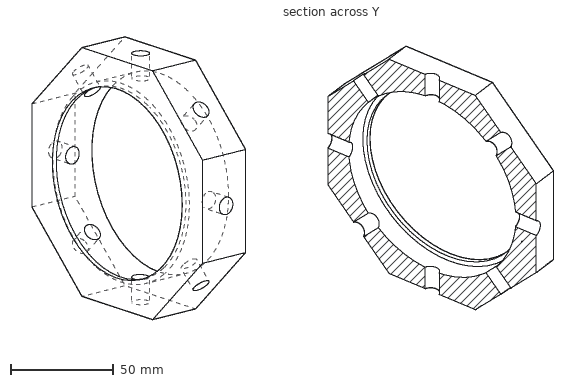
import cadquery as cq
import math

across_flats = 127.0
side_count = 8
body_depth = 25.4
lip_depth = 2.54
lip_diameter = 96.52
bore_diameter = 101.6
radial_hole_diameter = 8.8

total_depth = body_depth + lip_depth
across_corners = across_flats / math.cos(math.pi / side_count)
side_angle = 360.0 / side_count

hole_center_y = lip_depth + body_depth / 2


def disc_along_y(diameter, start_y, depth):
    """Cylinder on the ring axis, running toward +Y from start_y."""
    return cq.Workplane("XZ", origin=(0, start_y, 0)).circle(diameter / 2).extrude(-depth)


def octagon_body():
    """Solid octagonal prism with flats facing X and Z."""
    return (
        cq.Workplane("XZ")
        .polygon(side_count, across_corners)
        .extrude(-total_depth)
        .rotate((0, 0, 0), (0, 1, 0), side_angle / 2)
    )


def radial_hole(angle):
    """Cutter running from the ring axis out through the flat at the given angle."""
    return (
        cq.Workplane("XY", origin=(0, hole_center_y, 0))
        .circle(radial_hole_diameter / 2)
        .extrude(across_flats)
        .rotate((0, 0, 0), (0, 1, 0), angle)
    )


result = octagon_body()
result = result.cut(disc_along_y(lip_diameter, 0, lip_depth))
result = result.cut(disc_along_y(bore_diameter, lip_depth, body_depth))
for side in range(side_count):
    result = result.cut(radial_hole(side * side_angle))